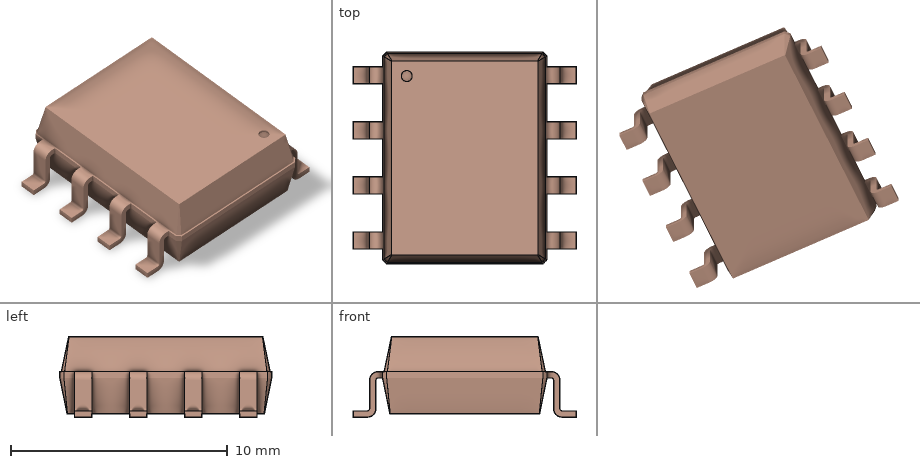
import cadquery as cq

span_x = 10.3
body_length = 9.8
total_height = 3.73

body_width = 7.6
body_bottom = 0.15
band_corner = 0.2
bottom_inset = 0.34
shoulder_inset = 0.07
shoulder_corner = 0.15
top_inset = 0.41
tip_corner = 0.02

lead_thickness = 0.3
lead_width = 0.8
lead_pitch = 2.54
leads_per_side = 4
lead_shank_x = 4.4
lead_top = 2.11
bend_inner_radius = 0.1
bend_outer_radius = bend_inner_radius + lead_thickness
lead_embed = 0.31

band_top = lead_top
band_bottom = band_top - lead_thickness

mark_diameter = 0.5
mark_depth = 0.1
mark_x = -2.68
mark_y = 3.78


def chamfered_outline(inset, corner):
    """Closed octagon: the body rectangle moved inwards, with its corners cut."""
    x = body_width / 2 - inset
    y = body_length / 2 - inset
    points = [
        (x, y - corner),
        (x - corner, y),
        (corner - x, y),
        (-x, y - corner),
        (-x, corner - y),
        (corner - x, -y),
        (x - corner, -y),
        (x, corner - y),
    ]
    return cq.Workplane("XY").polyline(points).close().val()


def tapered_block(low_outline, low_z, high_outline, high_z):
    """Flat-sided solid between two outlines at different heights."""
    low_wire = low_outline.translate(cq.Vector(0, 0, low_z))
    high_wire = high_outline.translate(cq.Vector(0, 0, high_z))
    return cq.Workplane(cq.Solid.makeLoft([low_wire, high_wire], True))


def make_body():
    band_outline = chamfered_outline(0, band_corner)
    bottom_outline = chamfered_outline(bottom_inset, tip_corner)
    shoulder_outline = chamfered_outline(shoulder_inset, shoulder_corner)
    top_outline = chamfered_outline(top_inset, tip_corner)

    lower_half = tapered_block(bottom_outline, body_bottom, band_outline, band_bottom)
    band = tapered_block(band_outline, band_bottom, band_outline, band_top)
    upper_half = tapered_block(shoulder_outline, band_top, top_outline, total_height)
    return lower_half.union(band).union(upper_half)


def make_lead():
    """Right-hand lead centred on Y = 0, running from inside the body to the foot."""
    root_x = body_width / 2 - lead_embed
    toe_x = span_x / 2
    shank_inner_x = lead_shank_x - lead_thickness
    profile = (
        cq.Workplane("XZ")
        .moveTo(root_x, lead_top)
        .lineTo(lead_shank_x - bend_outer_radius, lead_top)
        .radiusArc((lead_shank_x, lead_top - bend_outer_radius), bend_outer_radius)
        .lineTo(lead_shank_x, bend_outer_radius)
        .radiusArc((lead_shank_x + bend_inner_radius, lead_thickness), -bend_inner_radius)
        .lineTo(toe_x, lead_thickness)
        .lineTo(toe_x, 0)
        .lineTo(shank_inner_x + bend_outer_radius, 0)
        .radiusArc((shank_inner_x, bend_outer_radius), bend_outer_radius)
        .lineTo(shank_inner_x, lead_top - bend_outer_radius)
        .radiusArc((shank_inner_x - bend_inner_radius, band_bottom), -bend_inner_radius)
        .lineTo(root_x, band_bottom)
        .close()
    )
    return profile.extrude(lead_width / 2, both=True)


def add_leads(part):
    right_lead = make_lead()
    left_lead = right_lead.mirror("YZ")
    for index in range(leads_per_side):
        y = (index - (leads_per_side - 1) / 2) * lead_pitch
        part = part.union(right_lead.translate((0, y, 0)))
        part = part.union(left_lead.translate((0, y, 0)))
    return part


def cut_pin_mark(part):
    mark = (
        cq.Workplane("XY", origin=(mark_x, mark_y, total_height))
        .circle(mark_diameter / 2)
        .extrude(-mark_depth)
    )
    return part.cut(mark)


result = cut_pin_mark(add_leads(make_body()))